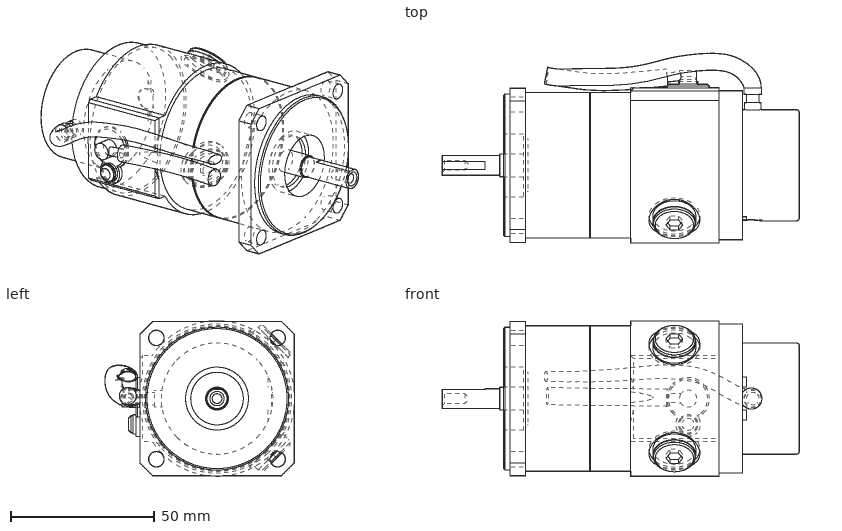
import cadquery as cq
import math


overlap = 1.0

shaft_radius = 3.5
shaft_flat_height = 3.2
shaft_flat_length = 15.0
shaft_shoulder_x = 20.0
shaft_collar_radius = 4.0
shaft_edge_chamfer = 0.3
center_hole_radius = 1.7
center_hole_depth = 8.0
center_sink_radius = 2.5

pilot_x = 21.5
pilot_radius = 25.0
pilot_chamfer = 0.5
flange_x = 23.7
flange_end_x = 29.2
flange_side = 54.0
flange_corner_chamfer = 4.5
mount_hole_radius = 2.65
mount_hole_offset = 30.0 / math.sqrt(2)
pilot_bore_radius = 11.0
pilot_bore_depth = 7.0
bearing_bore_radius = 9.2
bearing_bore_depth = 1.5

housing_radius = 25.5
joint_x = 51.9
joint_width = 0.4
joint_depth = 0.2
brush_ring_x = 65.9
brush_ring_end_x = 96.8
brush_ring_radius = 27.2
end_bell_radius = 26.1
end_bell_end_x = 105.1
cover_radius = 19.5
cover_end_x = 124.9
cover_fillet = 1.1

pad_height = 27.0
pad_half_width = 15.0
pad_chamfer = 1.0
pad_root_height = 20.0

brush_cap_x = 81.2
brush_cap_angles = (45.0, -45.0)
brush_cap_radius = 7.3
brush_cap_top = 29.5
brush_cap_collar_radius = 7.5
brush_cap_collar_top = 27.8
brush_cap_chamfer = 0.6
spot_face_radius = 8.9
spot_face_height = 25.0
hex_across_corners = 5.8
hex_depth = 2.0

port_x = 108.1
port_radius = 3.7
port_floor = 19.0
notch_width = 1.4
notch_depth = 1.6
notch_start = 4.0
notch_end = 7.5

terminal_x = 86.0
post_radius = 3.0
post_top = 33.2
post_base_radius = 7.4
post_base_chamfer = 0.6
terminal_base_height = 1.4
plug_z = -9.0
plug_radius = 3.0
plug_top = 31.0
plug_chamfer = 0.9
plug_base_radius = 4.3
plug_collar_radius = 3.4
plug_collar_top = 29.4

gland_x = 108.6
gland_root_y = 17.0
gland_radius = 2.9
gland_top_y = 21.9
gland_neck_radius = 2.2
cable_radius = 3.0
cable_flat_radius = 1.7
sleeve_radius = 3.1
cable_start_y = 24.8
cable_points = (
    (gland_x, 27.0, 0.0),
    (104.6, 33.4, 0.8),
    (93.2, 36.18, 6.8),
    (84.4, 35.4, 9.0),
    (74.8, 33.2, 9.3),
    (65.6, 31.4, 8.6),
    (51.5, 30.9, 7.8),
    (36.3, 31.4, 7.7),
)

cable_end_direction = (-1.0, 0.2, 0.0)
cable_sections = 10

jacket_points = (
    (78.7, 30.7, 0.3),
    (66.0, 29.5, 0.5),
    (52.0, 29.2, 0.6),
    (36.8, 31.2, 0.9),
)
power_neck_radius = 1.6
power_neck_height = 31.5


def cylinder_x(radius, start, end):
    return cq.Workplane("YZ").workplane(offset=start).circle(radius).extrude(end - start)


def cylinder_y(radius, x, z, start, end):
    """Cylinder along +Y between two Y heights."""
    plane = cq.Plane(origin=(x, start, z), xDir=(1, 0, 0), normal=(0, 1, 0))
    return cq.Workplane(plane).circle(radius).extrude(end - start)


def box_between(low, high):
    size = [b - a for a, b in zip(low, high)]
    return cq.Workplane("XY").box(*size, centered=False).translate(low)


def make_housing():
    flange = (
        cq.Workplane("YZ")
        .workplane(offset=flange_x)
        .rect(flange_side, flange_side)
        .extrude(flange_end_x - flange_x)
        .edges("|X")
        .chamfer(flange_corner_chamfer)
    )
    pilot = cylinder_x(pilot_radius, pilot_x, flange_x).faces("<X").chamfer(pilot_chamfer)
    body = cylinder_x(housing_radius, flange_x, brush_ring_x)
    mount_holes = (
        cq.Workplane("YZ")
        .workplane(offset=flange_x)
        .rect(2 * mount_hole_offset, 2 * mount_hole_offset, forConstruction=True)
        .vertices()
        .circle(mount_hole_radius)
        .extrude(flange_end_x - flange_x)
    )
    joint = cylinder_x(housing_radius + overlap, joint_x - joint_width, joint_x).cut(
        cylinder_x(housing_radius - joint_depth, joint_x - joint_width, joint_x)
    )
    ring = cylinder_x(brush_ring_radius, brush_ring_x, brush_ring_end_x)
    end_bell = cylinder_x(end_bell_radius, brush_ring_end_x, end_bell_end_x)
    cover = cylinder_x(cover_radius, end_bell_end_x, cover_end_x).faces(">X").fillet(cover_fillet)
    housing = flange.union(pilot).union(body).cut(mount_holes).cut(joint)
    return housing.union(ring).union(end_bell).union(cover)


def make_pad():
    low = (brush_ring_x, pad_root_height, -pad_half_width)
    high = (brush_ring_end_x, pad_height, pad_half_width)
    pad = box_between(low, high)
    return pad.faces(">Y").edges("<X or <Z or >Z").chamfer(pad_chamfer)


def cut_pilot_bore(body):
    floor_x = pilot_x + pilot_bore_depth
    body = body.cut(cylinder_x(pilot_bore_radius, pilot_x, floor_x))
    return body.cut(cylinder_x(bearing_bore_radius, floor_x, floor_x + bearing_bore_depth))


def make_shaft():
    root_x = pilot_x + pilot_bore_depth + bearing_bore_depth + overlap
    collar = cylinder_x(shaft_collar_radius, shaft_shoulder_x, root_x)
    collar = collar.faces("<X").chamfer(shaft_edge_chamfer)
    shaft = cylinder_x(shaft_radius, 0, shaft_shoulder_x)
    flat = box_between(
        (0, -shaft_radius, shaft_flat_height), (shaft_flat_length, shaft_radius, shaft_radius)
    )
    sink_depth = center_sink_radius - center_hole_radius
    center_hole = (
        cq.Workplane("XY")
        .polyline(
            [
                (0, 0),
                (0, center_sink_radius),
                (sink_depth, center_hole_radius),
                (center_hole_depth, center_hole_radius),
                (center_hole_depth + center_hole_radius, 0),
            ]
        )
        .close()
        .revolve(360, (0, 0, 0), (1, 0, 0))
    )
    return shaft.cut(flat).union(collar).cut(center_hole)


def add_brush_cap(body, angle):
    """Screw cap in a spot face, its axis turned from -Y towards +Z by the angle."""
    a = math.radians(angle)
    direction = cq.Vector(0, -math.cos(a), math.sin(a))

    def plane_at(height):
        center = direction * height + cq.Vector(brush_cap_x, 0, 0)
        return cq.Plane(origin=center.toTuple(), xDir=(1, 0, 0), normal=direction.toTuple())

    floor = cq.Workplane(plane_at(spot_face_height))
    spot_face = floor.circle(spot_face_radius).extrude(brush_ring_radius - spot_face_height + overlap)
    cap = floor.circle(brush_cap_radius).extrude(brush_cap_top - spot_face_height)
    cap = cap.faces(cq.selectors.DirectionMinMaxSelector(direction)).chamfer(brush_cap_chamfer)
    collar = floor.circle(brush_cap_collar_radius).extrude(brush_cap_collar_top - spot_face_height)
    socket = cq.Workplane(plane_at(brush_cap_top)).polygon(6, hex_across_corners).extrude(-hex_depth)
    return body.cut(spot_face).union(cap).union(collar).cut(socket)


def cut_cover_port(body):
    port = cylinder_y(port_radius, port_x, 0, -cover_radius, -port_floor)
    port = port.intersect(
        box_between(
            (end_bell_end_x, -cover_radius, -port_radius),
            (cover_end_x, 0, port_radius),
        )
    )
    body = body.cut(port)
    for side in (1, -1):
        inner, outer = sorted((side * notch_start, side * notch_end))
        notch = box_between(
            (end_bell_end_x, -cover_radius, inner),
            (end_bell_end_x + notch_width, -cover_radius + notch_depth, outer),
        )
        body = body.cut(notch)
    return body


def make_terminals():
    base_top = pad_height + terminal_base_height
    base = cylinder_y(post_base_radius, terminal_x, 0, pad_height - overlap, base_top)
    post = cylinder_y(post_radius, terminal_x, 0, pad_height, post_top)
    parts = base.faces(">Y").chamfer(post_base_chamfer).union(post)
    plug_base = cylinder_y(plug_base_radius, terminal_x, plug_z, pad_height - overlap, base_top)
    plug_collar = cylinder_y(plug_collar_radius, terminal_x, plug_z, pad_height, plug_collar_top)
    plug = cylinder_y(plug_radius, terminal_x, plug_z, pad_height, plug_top)
    plug = plug.faces(">Y").chamfer(plug_chamfer)
    return parts.union(plug_base).union(plug_collar).union(plug)


def spline_path(points, start_tangent, end_tangent):
    vectors = [cq.Vector(*p) for p in points]
    tangents = [start_tangent.normalized(), end_tangent.normalized()]
    return cq.Edge.makeSpline(vectors, tangents=tangents, scale=False)


def make_encoder_cable():
    """Loft through elliptical sections whose thin axis shrinks along the cable."""
    path = spline_path(cable_points, cq.Vector(0, 1, 0), cq.Vector(*cable_end_direction))
    sections = []
    for i in range(cable_sections + 1):
        t = i / cable_sections
        center = path.positionAt(t)
        tangent = path.tangentAt(t)
        thin_radius = cable_radius + t * (cable_flat_radius - cable_radius)
        thin_axis = cq.Vector(0, 0, 1)
        thin_axis = (thin_axis - tangent * tangent.dot(thin_axis)).normalized()
        section = cq.Edge.makeEllipse(
            cable_radius, thin_radius, center, tangent, thin_axis.cross(tangent), sense=1
        )
        sections.append(cq.Wire.assembleEdges([section]))
    cable = cq.Workplane(cq.Solid.makeLoft(sections))
    sleeve = cylinder_y(sleeve_radius, gland_x, 0, cable_start_y, cable_points[0][1])
    neck = cylinder_y(gland_neck_radius, gland_x, 0, gland_top_y, cable_start_y)
    gland = cylinder_y(gland_radius, gland_x, 0, gland_root_y, gland_top_y)
    return cable.union(sleeve).union(neck).union(gland)


def make_power_cable():
    tangent = cq.Vector(*jacket_points[1]) - cq.Vector(*jacket_points[0])
    end_tangent = cq.Vector(*jacket_points[-1]) - cq.Vector(*jacket_points[-2])
    path = cq.Workplane(cq.Wire.assembleEdges([spline_path(jacket_points, tangent, end_tangent)]))
    plane = cq.Plane(origin=jacket_points[0], normal=tangent.toTuple())
    jacket = cq.Workplane(plane).circle(cable_radius).sweep(path)
    neck_start = cq.Vector(*jacket_points[0])
    neck = cq.Vector(terminal_x, power_neck_height, 0) - neck_start
    neck_plane = cq.Plane(origin=neck_start.toTuple(), normal=neck.toTuple())
    return jacket.union(cq.Workplane(neck_plane).circle(power_neck_radius).extrude(neck.Length))


part = make_housing().union(make_pad())
part = cut_pilot_bore(part).union(make_shaft())
for cap_angle in brush_cap_angles:
    part = add_brush_cap(part, cap_angle)
part = cut_cover_port(part)
part = part.union(make_terminals()).union(make_power_cable())
result = part.union(make_encoder_cable())